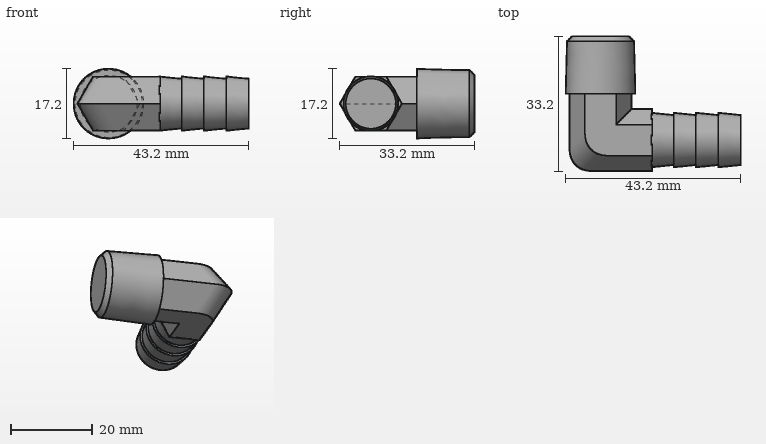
import cadquery as cq
import math

overall_length = 43.2
overall_height = 33.25

hex_across_flats = 13.25
hex_across_corners = hex_across_flats / math.cos(math.radians(30))
hex_end_x = 12.7
elbow_radius = 6.2

plug_base_diameter = 17.25
plug_shoulder_diameter = 16.6
plug_base_y = 11.35
plug_chamfer = 1.3
plug_end_y = overall_height - hex_across_corners / 2

barb_count = 4
barb_pitch = 5.53
barb_ridge_radius = 6.75
barb_small_radius = 6.18
tail_end_x = overall_length - plug_base_diameter / 2
tail_start_x = tail_end_x - barb_count * barb_pitch


def hex_arm(plane, length):
    """Hexagonal bar centred on the plane's origin, long enough to be mitred."""
    corner_reach = hex_across_corners / 2
    return (
        cq.Workplane(plane)
        .workplane(offset=-corner_reach)
        .polygon(6, hex_across_corners)
        .extrude(length + corner_reach)
    )


def mitre_wedge(limit_corner):
    """Half of a large square, cut along the elbow's diagonal, on the side of limit_corner."""
    reach = overall_length
    return (
        cq.Workplane("XY")
        .polyline([(-reach, -reach), (reach, reach), limit_corner])
        .close()
        .extrude(reach, both=True)
    )


def make_elbow():
    tail_plane = cq.Plane(origin=(0, 0, 0), xDir=(0, 1, 0), normal=(1, 0, 0))
    plug_plane = cq.Plane(origin=(0, 0, 0), xDir=(1, 0, 0), normal=(0, 1, 0))
    reach = overall_length
    tail_arm = hex_arm(tail_plane, hex_end_x).intersect(mitre_wedge((reach, -reach)))
    plug_arm = hex_arm(plug_plane, plug_base_y).intersect(mitre_wedge((-reach, reach)))
    elbow = tail_arm.union(plug_arm)

    upper_space = cq.Workplane("XY").rect(2 * reach, 2 * reach).extrude(reach)
    middle_of_edge = -hex_across_corners * 3 / 8
    upper_half = (
        elbow.intersect(upper_space)
        .edges(cq.NearestToPointSelector((middle_of_edge, middle_of_edge, hex_across_flats / 4)))
        .fillet(elbow_radius)
    )
    return upper_half.union(upper_half.mirror("XY"))


def make_plug():
    shoulder_radius = plug_shoulder_diameter / 2
    return (
        cq.Workplane("XY")
        .moveTo(0, plug_base_y)
        .lineTo(plug_base_diameter / 2, plug_base_y)
        .lineTo(shoulder_radius, plug_end_y - plug_chamfer)
        .lineTo(shoulder_radius - plug_chamfer, plug_end_y)
        .lineTo(0, plug_end_y)
        .close()
        .revolve(360, (0, 0), (0, 1))
    )


def make_tail():
    """Row of cones, each tapering towards the free end."""
    profile = cq.Workplane("XY").moveTo(tail_start_x, 0)
    for index in range(barb_count):
        ridge_x = tail_start_x + index * barb_pitch
        profile = profile.lineTo(ridge_x, barb_ridge_radius)
        profile = profile.lineTo(ridge_x + barb_pitch, barb_small_radius)
    return profile.lineTo(tail_end_x, 0).close().revolve(360, (0, 0), (1, 0))


result = make_elbow().union(make_plug()).union(make_tail())